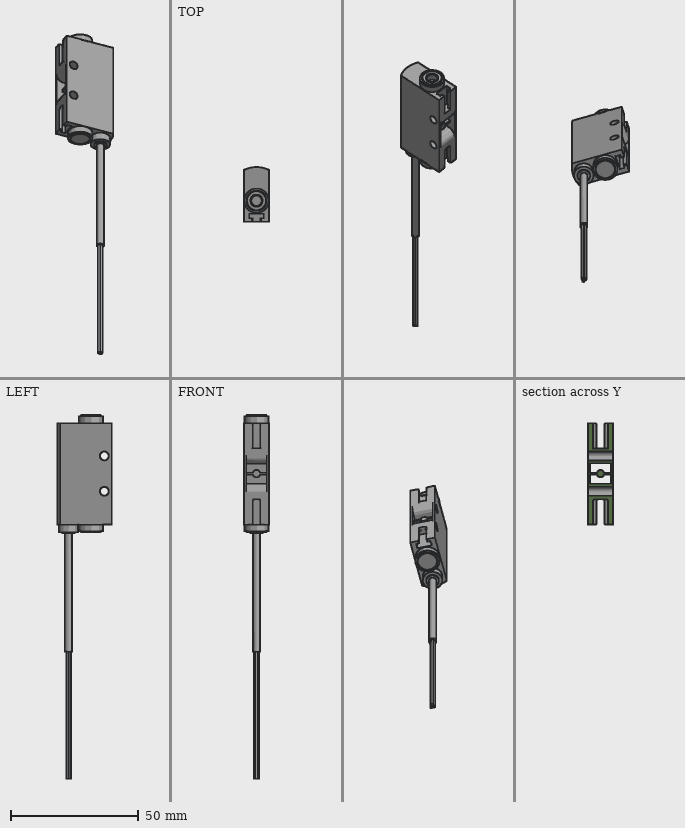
import cadquery as cq

width = 10.0
depth = 21.6
height = 40.0
crown = 1.2

fitting_dia = 9.6
fitting_rim_dia = 8.0
fitting_y = 8.3
top_fitting_height = 3.2
bottom_fitting_height = 3.0
fitting_step = 0.45
fitting_rim_chamfer = 0.25
bore_dia = 4.13
bore_mouth_dia = 4.8
bore_mouth_depth = 0.3
bore_depth = 3.2

gland_dia = 7.7
gland_height = 3.0
collar_dia = 5.0
collar_height = 0.45
cable_y = 17.15
cable_dia = 2.9
cable_length = 50.0
wire_dia = 1.0
wire_length = 50.0
wire_count = 3
first_wire_angle = -90
wire_circle_radius = 0.6

hole_dia = 3.4
hole_y = 3.0
hole_spacing = 13.9
mid_z = 20.1

pocket_width = 8.2
pocket_depth = 4.6
rib_depth = 2.4
rib_thickness = 0.86
hub_dia = 2.9

slot_mouth = 3.1
slot_wide = 5.8
slot_lip = 1.3
slot_depth = 3.2
slot_length = 10.0
slot_corner_radius = 0.8
slot_flare = 0.4


def cylinder(diameter, length, y, z):
    """Upright cylinder of the given length, standing on height z."""
    return cq.Workplane("XY", origin=(0, y, z)).circle(diameter / 2).extrude(length)


def block(size_x, y_min, y_max, z_min, z_max):
    """Box centred on X = 0 between the given Y and Z limits."""
    return (
        cq.Workplane("XY", origin=(0, (y_min + y_max) / 2, z_min))
        .rect(size_x, y_max - y_min)
        .extrude(z_max - z_min)
    )


def make_housing():
    side_depth = depth - crown
    return (
        cq.Workplane("XY")
        .moveTo(-width / 2, 0)
        .lineTo(width / 2, 0)
        .lineTo(width / 2, side_depth)
        .threePointArc((0, depth), (-width / 2, side_depth))
        .close()
        .extrude(height)
    )


def cross_rod(diameter, length, z):
    """Cylinder along X through the mounting hole axis at height z."""
    return (
        cq.Workplane("YZ", origin=(-length / 2, hole_y, z))
        .circle(diameter / 2)
        .extrude(length)
    )


def make_pocket(hole_heights):
    """Pocket volume: a box less the hole bosses and the central rib with its hub."""
    low_z, high_z = hole_heights
    pocket = block(pocket_width, 0, pocket_depth, low_z, high_z)
    for z, inward in ((low_z, 1), (high_z, -1)):
        z_limits = sorted((z, z + inward * hole_y))
        pocket = pocket.cut(cross_rod(2 * hole_y, pocket_width, z))
        pocket = pocket.cut(block(pocket_width, hole_y, pocket_depth, *z_limits))
    rib = block(
        pocket_width, rib_depth, pocket_depth, mid_z - rib_thickness / 2, mid_z + rib_thickness / 2
    )
    hub = (
        cq.Workplane("XZ", origin=(0, pocket_depth, mid_z))
        .circle(hub_dia / 2)
        .extrude(pocket_depth - rib_depth)
    )
    return pocket.cut(rib).cut(hub)


def make_bottom_slot():
    """T-slot rising from Z = 0, with a bevelled entry and rounded corners at its closed end."""
    mouth = block(slot_mouth, 0, slot_lip, 0, slot_length)
    undercut = block(slot_wide, slot_lip, slot_depth, 0, slot_length)
    slot = mouth.union(undercut).edges("|Y and >Z").fillet(slot_corner_radius)
    return slot.union(make_slot_flare())


def make_slot_flare():
    """Tapered widening of the slot mouth at Z = 0."""
    half_mouth = slot_mouth / 2
    half_flare = half_mouth + slot_flare
    return (
        cq.Workplane("XZ")
        .polyline([(-half_flare, 0), (half_flare, 0), (half_mouth, slot_flare), (-half_mouth, slot_flare)])
        .close()
        .extrude(-slot_lip)
    )


def make_top_slot():
    """T-slot dropping from the housing top, with a bevelled entry and a square closed end."""
    z_min = height - slot_length
    mouth = block(slot_mouth, 0, slot_lip, z_min, height)
    undercut = block(slot_wide, slot_lip, slot_depth, z_min, height)
    flare = make_slot_flare().mirror("XY").translate((0, 0, height))
    return mouth.union(undercut).union(flare)


def make_fitting(total_height):
    """Round fitting standing on Z = 0 with a narrower rim at its outer end."""
    body = cylinder(fitting_dia, total_height - fitting_step, fitting_y, 0)
    rim = cylinder(fitting_rim_dia, total_height, fitting_y, 0).faces(">Z").chamfer(fitting_rim_chamfer)
    return body.union(rim)


def make_top_fitting():
    bore = cylinder(bore_dia, bore_depth, fitting_y, top_fitting_height - bore_depth)
    mouth = cylinder(bore_mouth_dia, bore_mouth_depth, fitting_y, top_fitting_height - bore_mouth_depth)
    fitting = make_fitting(top_fitting_height).cut(bore).cut(mouth)
    return fitting.translate((0, 0, height))


def make_cable():
    gland = cylinder(gland_dia, gland_height, cable_y, -gland_height)
    collar = cylinder(collar_dia, collar_height, cable_y, -gland_height - collar_height)
    cable = gland.union(collar).union(cylinder(cable_dia, cable_length, cable_y, -cable_length))
    wires = (
        cq.Workplane("XY", origin=(0, cable_y, -cable_length - wire_length))
        .polarArray(wire_circle_radius, first_wire_angle, 360, wire_count)
        .circle(wire_dia / 2)
        .extrude(wire_length)
    )
    return cable.union(wires)


hole_heights = (mid_z - hole_spacing / 2, mid_z + hole_spacing / 2)

housing = make_housing().cut(make_pocket(hole_heights))
for hole_z in hole_heights:
    housing = housing.cut(cross_rod(hole_dia, width, hole_z))

housing = housing.cut(make_top_slot()).cut(make_bottom_slot())

bottom_fitting = make_fitting(bottom_fitting_height).mirror("XY")
result = housing.union(make_top_fitting()).union(bottom_fitting).union(make_cable())